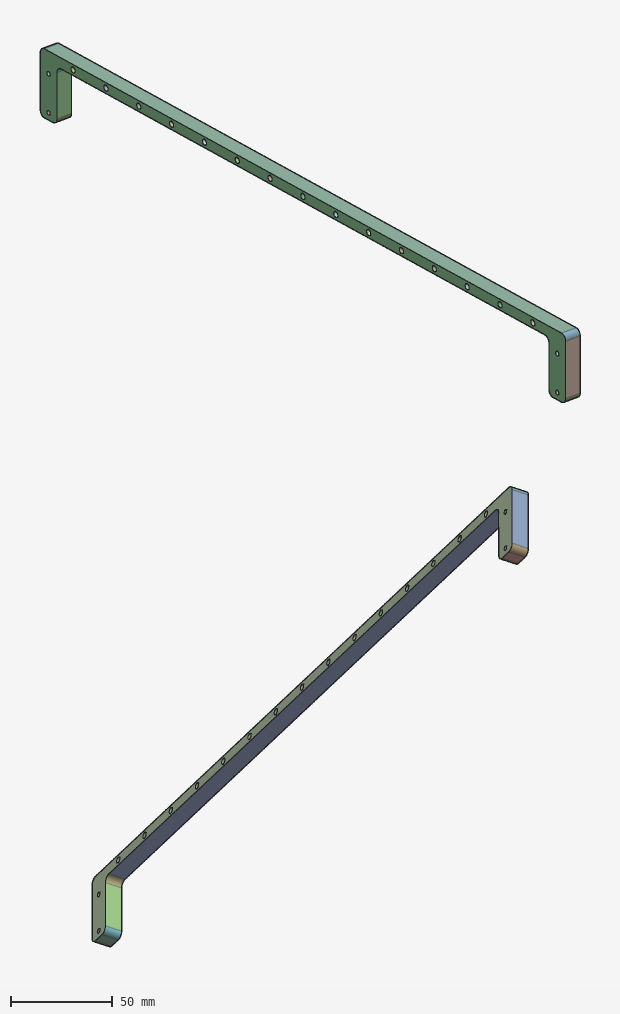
import cadquery as cq

length = 406.5
depth = 9.5
height = 38.0

bar_thickness = 6.0
leg_width = 13.0
corner_radius = 3.3

bar_hole_diameter = 3.15
bar_hole_count = 15
bar_hole_pitch = length / (bar_hole_count + 1)

leg_hole_diameter = 2.4
upper_leg_hole_drop = 12.5
leg_hole_spacing = 21.5


def frame():
    """Bar with a leg at each end, centred on X and Y with its feet at Z = 0."""
    outer = cq.Workplane("XY").box(length, depth, height, centered=(True, True, False))
    outer = outer.edges("|Y and >Z").fillet(corner_radius)
    gap_width = length - 2 * leg_width
    gap_height = height - bar_thickness
    gap = cq.Workplane("XY").box(gap_width, depth, gap_height, centered=(True, True, False))
    gap = gap.edges("|Y and >Z").fillet(corner_radius)
    return outer.cut(gap).faces("<Z").edges("|Y").fillet(corner_radius)


def through_holes(points, diameter):
    """Cylinders along Y that cross the whole depth at the given (x, z) points."""
    return cq.Workplane("XZ").pushPoints(points).circle(diameter / 2).extrude(depth, both=True)


bar_hole_z = height - bar_thickness / 2
first_bar_hole_x = -bar_hole_pitch * (bar_hole_count - 1) / 2
bar_holes = [(first_bar_hole_x + i * bar_hole_pitch, bar_hole_z) for i in range(bar_hole_count)]

leg_center_x = (length - leg_width) / 2
upper_leg_hole_z = height - upper_leg_hole_drop
lower_leg_hole_z = upper_leg_hole_z - leg_hole_spacing
leg_holes = [
    (x, z)
    for x in (-leg_center_x, leg_center_x)
    for z in (lower_leg_hole_z, upper_leg_hole_z)
]

result = frame()
result = result.cut(through_holes(bar_holes, bar_hole_diameter))
result = result.cut(through_holes(leg_holes, leg_hole_diameter))